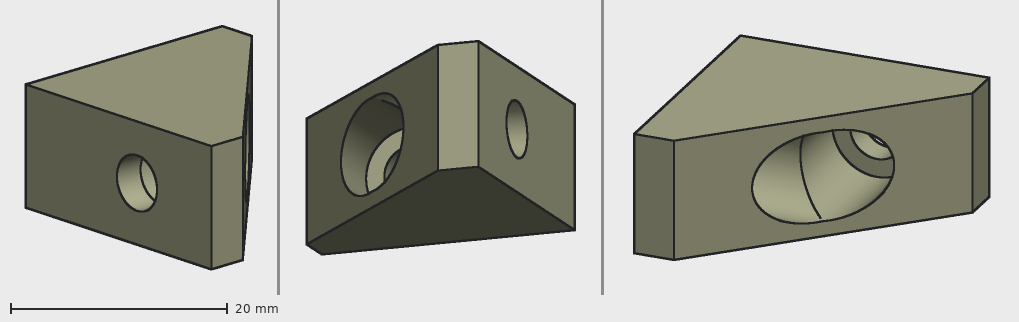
import cadquery as cq

leg = 25.0
height = 12.0
tip_width = 4.0
bolt_diameter = 5.4
head_diameter = 9.0
bolt_offset = 15.0
wall = 3.0


def bolt_cutter(face):
    """Bolt hole entering a leg face, widened for the head beyond the wall."""
    shank = face.circle(bolt_diameter / 2).extrude(leg)
    head = face.workplane(offset=wall).circle(head_diameter / 2).extrude(leg - wall)
    return shank.union(head)


block = (
    cq.Workplane("XY")
    .polyline([(0, 0), (leg, 0), (leg, tip_width), (tip_width, leg), (0, leg)])
    .close()
    .extrude(height)
)

front_face = cq.Workplane("XZ", origin=(bolt_offset, 0, height / 2)).workplane(invert=True)
side_face = cq.Workplane("YZ", origin=(0, bolt_offset, height / 2))

result = block.cut(bolt_cutter(front_face)).cut(bolt_cutter(side_face))